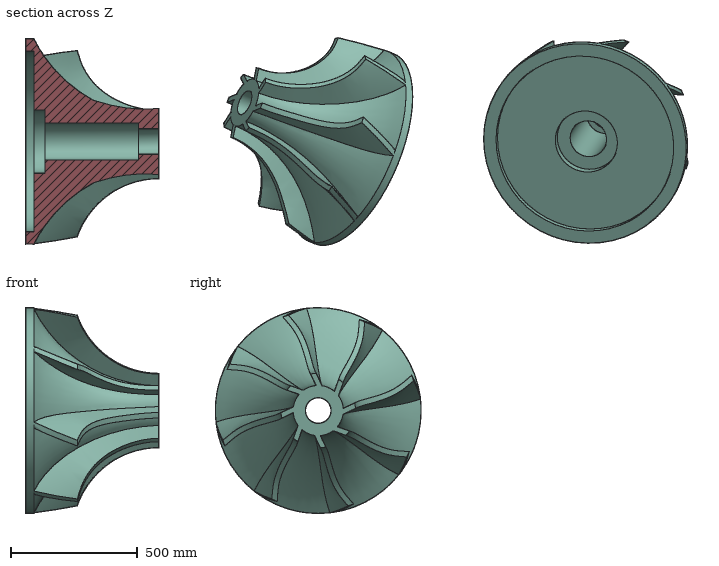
import cadquery as cq
import math

length = 525.5
disc_radius = 406.0
disc_thickness = 32.5

hub_nose_radius = 99.0
shroud_nose_radius = 147.0
tip_x = 204.0
tip_radius = 394.0

recess_diameter = 712.0
recess_depth = 32.5
counterbore_diameter = 248.5
counterbore_depth = 44.0
bore_diameter = 145.0
nose_hole_diameter = 100.0
nose_wall = 81.0

blade_count = 8
blade_thickness = 21.0
root_overlap = 12.0
tip_overlap = 12.0
blade_lines = [
    (disc_thickness, -8.2, tip_x, -19.8),
    (114.0, -5.9, 227.0, -16.0),
    (203.0, -4.9, 268.0, -13.0),
    (284.0, -3.7, 325.0, -11.7),
    (365.5, -2.0, 390.0, -11.0),
    (length, 2.0, length, -8.9),
]


def arc_radius(start_x, start_radius, nose_radius):
    """Radius of an arc through the start that is parallel to X at the nose."""
    run = length - start_x
    rise = start_radius - nose_radius
    return (run**2 + rise**2) / (2 * rise)


hub_arc = arc_radius(disc_thickness, disc_radius, hub_nose_radius)
shroud_arc = arc_radius(tip_x, tip_radius, shroud_nose_radius)


def profile_radius(x, nose_radius, arc):
    """Distance from the axis of a hub or blade-tip arc at position x."""
    return nose_radius + arc - math.sqrt(arc**2 - (length - x)**2)


def revolved_body(rim, nose_radius, arc):
    """Straight outline through the rim points, then a concave arc down to the nose."""
    middle_x = (rim[-1][0] + length) / 2
    middle = (middle_x, profile_radius(middle_x, nose_radius, arc))
    return (
        cq.Workplane("XY")
        .polyline([(0, 0)] + rim)
        .threePointArc(middle, (length, nose_radius))
        .lineTo(length, 0)
        .close()
        .revolve(360, (0, 0, 0), (1, 0, 0))
    )


def polar_point(x, radius, angle):
    """Point around the X axis, with zero angle at -Y and growing toward +Z."""
    turn = math.radians(angle)
    return cq.Vector(x, -radius * math.cos(turn), radius * math.sin(turn))


def blade_section(root_x, root_angle, end_x, end_angle):
    """Thin quadrilateral along the line from the blade root to the blade tip."""
    hub_radius = profile_radius(root_x, hub_nose_radius, hub_arc)
    end_radius = profile_radius(end_x, shroud_nose_radius, shroud_arc) + tip_overlap
    root = polar_point(root_x, hub_radius, root_angle)
    tip = polar_point(end_x, end_radius, end_angle)
    along = (tip - root).normalized()
    rise = abs(end_radius - hub_radius)
    travel = cq.Vector(rise, 0, 0) - polar_point(0, end_x - root_x, end_angle)
    side = along.cross(travel).normalized() * (blade_thickness / 2)
    inner = root - along * root_overlap
    return cq.Wire.makePolygon([inner + side, tip + side, tip - side, inner - side], close=True)


def make_blade(envelope):
    """Twisted blade trimmed to the blade-tip envelope."""
    loft = cq.Solid.makeLoft([blade_section(*line) for line in blade_lines])
    return cq.Workplane(loft).intersect(envelope)


def bore_step(diameter, start_x, end_x):
    """Cylinder along X for one step of the bore."""
    return cq.Workplane("YZ", origin=(start_x, 0, 0)).circle(diameter / 2).extrude(end_x - start_x)


disc_rim = [(0, disc_radius), (disc_thickness, disc_radius)]
blade_rim = disc_rim + [(tip_x, tip_radius)]
result = revolved_body(disc_rim, hub_nose_radius, hub_arc)
blade = make_blade(revolved_body(blade_rim, shroud_nose_radius, shroud_arc))
for index in range(blade_count):
    result = result.union(blade.rotate((0, 0, 0), (1, 0, 0), index * 360 / blade_count))

counterbore_end = recess_depth + counterbore_depth
result = result.cut(bore_step(recess_diameter, 0, recess_depth))
result = result.cut(bore_step(counterbore_diameter, 0, counterbore_end))
result = result.cut(bore_step(bore_diameter, 0, length - nose_wall))
result = result.cut(bore_step(nose_hole_diameter, 0, length))